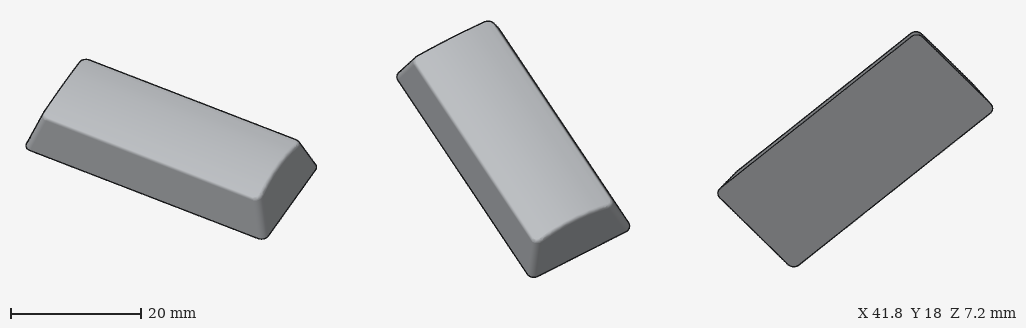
import cadquery as cq

length = 41.81
width = 18.0
height = 7.2

wall_draft = 17.5
crown_radius = 25.0
corner_radius = 1.25
rim_radius = 0.6
trim_allowance = 1.0


def drafted_block():
    """Rectangular block with all four walls leaning inward and rounded corner edges."""
    block = cq.Workplane("XY").rect(length, width).extrude(height + trim_allowance, taper=wall_draft)
    corner_edges = block.edges("not(#Z)")
    return corner_edges.fillet(corner_radius)


def crown_cylinder():
    """Cylinder along X, over the full length, whose highest line lies at the finished height."""
    return (
        cq.Workplane("YZ")
        .center(0, height - crown_radius)
        .circle(crown_radius)
        .extrude(length / 2, both=True)
    )


def round_rim(body):
    """Round the closed loop of edges around the crowned top face."""
    return body.faces(">Z").edges().fillet(rim_radius)


crowned_body = drafted_block().intersect(crown_cylinder())
result = round_rim(crowned_body)